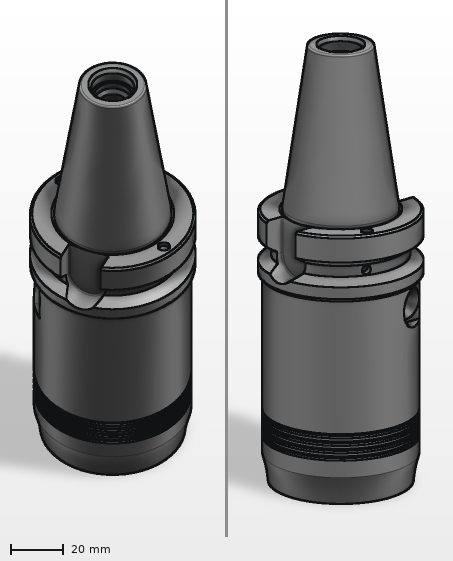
import cadquery as cq
import math

TOTAL_HEIGHT = 175.4
GAUGE_Z = 110.0
FLANGE_TOP_Z = 109.1
VEE_TOP_Z = 98.5
VEE_FLOOR_TOP_Z = 95.5
VEE_FLOOR_BOTTOM_Z = 91.0
VEE_BOTTOM_Z = 88.5
FLANGE_BOTTOM_Z = 83.8
NOSE_TOP_Z = 11.4

FLANGE_DIAMETER = 63.0
FLANGE_RADIUS = FLANGE_DIAMETER / 2
NECK_RADIUS = 26.5
BODY_RADIUS = 30.0
NOSE_RADIUS = 27.7
GAUGE_RADIUS = 22.3
TAPER_RATIO = 7 / 24
TOP_RADIUS = GAUGE_RADIUS - (TOTAL_HEIGHT - GAUGE_Z) * TAPER_RATIO / 2
TOP_ROUNDING = 0.9
FLANGE_CHAMFER = 0.9
FACE_RELIEF_WIDTH = 1.0
FACE_RELIEF_DEPTH = 0.7
NOSE_SAG = 0.4

RING_COUNT = 4
LOWEST_RING_Z = 19.1
RING_PITCH = 3.0
RING_HALF_WIDTH = 0.9
RING_DEPTH = 0.4

BORE_RADIUS = 5.5
THREAD_RADIUS = 7.2
PILOT_RADIUS = 8.2
PILOT_MOUTH_RADIUS = 9.3
PILOT_MOUTH_DEPTH = 1.8
PILOT_DEPTH = 5.6
THREAD_START_DEPTH = 5.8
THREAD_END_DEPTH = 8.6
BORE_START_DEPTH = 10.0

DRIVE_HALF_WIDTH = 8.2
DRIVE_FLOOR_Y = 22.5
DRIVE_BOTTOM_Z = 86.5
DRIVE_FILLET = 0.5

COOLANT_ANGLES = (160, 340)
FACE_HOLE_RADIUS = 2.3
FACE_HOLE_DISTANCE = 26.8
FACE_HOLE_DEPTH = 1.8
NECK_HOLE_RADIUS = 1.8
NECK_HOLE_DEPTH = 3.5
DRILL_HALF_ANGLE = 59

POCKET_FLOOR_X = -20.9
POCKET_Y = -14.2
POCKET_Z = 73.7
POCKET_RADIUS = 8.2
POCKET_CONE_RADIUS = 7.0
POCKET_CONE_DEPTH = 7.0


def turned_blank():
    body_step = FLANGE_RADIUS - BODY_RADIUS
    outline = cq.Workplane("XZ").moveTo(0, 0).lineTo(NOSE_RADIUS, 0)
    outline = outline.threePointArc(
        ((NOSE_RADIUS + BODY_RADIUS) / 2 - NOSE_SAG, NOSE_TOP_Z / 2),
        (BODY_RADIUS, NOSE_TOP_Z),
    )
    for ring in range(RING_COUNT):
        ring_z = LOWEST_RING_Z + ring * RING_PITCH
        outline = outline.lineTo(BODY_RADIUS, ring_z - RING_HALF_WIDTH)
        outline = outline.lineTo(BODY_RADIUS - RING_DEPTH, ring_z)
        outline = outline.lineTo(BODY_RADIUS, ring_z + RING_HALF_WIDTH)
    outline = (
        outline.lineTo(BODY_RADIUS, FLANGE_BOTTOM_Z - body_step)
        .lineTo(FLANGE_RADIUS, FLANGE_BOTTOM_Z)
        .lineTo(FLANGE_RADIUS, VEE_BOTTOM_Z)
        .lineTo(NECK_RADIUS, VEE_FLOOR_BOTTOM_Z)
        .lineTo(NECK_RADIUS, VEE_FLOOR_TOP_Z)
        .lineTo(FLANGE_RADIUS, VEE_TOP_Z)
        .lineTo(FLANGE_RADIUS, FLANGE_TOP_Z - FLANGE_CHAMFER)
        .lineTo(FLANGE_RADIUS - FLANGE_CHAMFER, FLANGE_TOP_Z)
        .lineTo(GAUGE_RADIUS + FACE_RELIEF_WIDTH, FLANGE_TOP_Z)
        .lineTo(GAUGE_RADIUS, FLANGE_TOP_Z - FACE_RELIEF_DEPTH)
        .lineTo(GAUGE_RADIUS, GAUGE_Z)
        .lineTo(TOP_RADIUS, TOTAL_HEIGHT)
        .lineTo(0, TOTAL_HEIGHT)
        .close()
    )
    blank = outline.revolve(360, (0, 0, 0), (0, 1, 0))
    return blank.faces(">Z").edges().fillet(TOP_ROUNDING)


def axial_bore():
    return (
        cq.Workplane("XZ")
        .moveTo(0, 0)
        .lineTo(BORE_RADIUS, 0)
        .lineTo(BORE_RADIUS, TOTAL_HEIGHT - BORE_START_DEPTH)
        .lineTo(THREAD_RADIUS, TOTAL_HEIGHT - THREAD_END_DEPTH)
        .lineTo(THREAD_RADIUS, TOTAL_HEIGHT - THREAD_START_DEPTH)
        .lineTo(PILOT_RADIUS, TOTAL_HEIGHT - PILOT_DEPTH)
        .lineTo(PILOT_RADIUS, TOTAL_HEIGHT - PILOT_MOUTH_DEPTH)
        .lineTo(PILOT_MOUTH_RADIUS, TOTAL_HEIGHT)
        .lineTo(0, TOTAL_HEIGHT)
        .close()
        .revolve(360, (0, 0, 0), (0, 1, 0))
    )


def drive_slot():
    """Round-bottomed slot cutter on the -Y side, open upward and outward."""
    arc_center_z = DRIVE_BOTTOM_Z + DRIVE_HALF_WIDTH
    return (
        cq.Workplane("XZ", origin=(0, -DRIVE_FLOOR_Y, 0))
        .moveTo(-DRIVE_HALF_WIDTH, TOTAL_HEIGHT)
        .lineTo(-DRIVE_HALF_WIDTH, arc_center_z)
        .threePointArc((0, DRIVE_BOTTOM_Z), (DRIVE_HALF_WIDTH, arc_center_z))
        .lineTo(DRIVE_HALF_WIDTH, TOTAL_HEIGHT)
        .close()
        .extrude(FLANGE_RADIUS)
        .faces(">Y")
        .edges()
        .fillet(DRIVE_FILLET)
    )


def drilled_hole(radius, depth, start, direction):
    """Blind drilled hole with a pointed end."""
    point_depth = radius / math.tan(math.radians(DRILL_HALF_ANGLE))
    axis = cq.Vector(*direction).normalized()
    bottom = cq.Vector(*start) + axis * depth
    barrel = cq.Solid.makeCylinder(radius, depth, cq.Vector(*start), axis)
    point = cq.Solid.makeCone(radius, 0, point_depth, bottom, axis)
    return barrel.fuse(point)


def wrench_pocket():
    """Pocket with one round end, running out on the -Y side, and a conical seat."""
    reach = FLANGE_RADIUS
    floor = cq.Workplane("YZ", origin=(POCKET_FLOOR_X, POCKET_Y, POCKET_Z))
    pocket = (
        floor.moveTo(-reach, -POCKET_RADIUS)
        .lineTo(0, -POCKET_RADIUS)
        .threePointArc((POCKET_RADIUS, 0), (0, POCKET_RADIUS))
        .lineTo(-reach, POCKET_RADIUS)
        .close()
        .extrude(-reach)
    )
    seat = cq.Solid.makeCone(
        POCKET_CONE_RADIUS,
        0,
        POCKET_CONE_DEPTH,
        cq.Vector(POCKET_FLOOR_X, POCKET_Y, POCKET_Z),
        cq.Vector(1, 0, 0),
    )
    return pocket.union(cq.Workplane(seat))


result = turned_blank().cut(axial_bore()).cut(wrench_pocket())

for side_angle in (0, 180):
    result = result.cut(drive_slot().rotate((0, 0, 0), (0, 0, 1), side_angle))

neck_mid_z = (VEE_FLOOR_TOP_Z + VEE_FLOOR_BOTTOM_Z) / 2
for angle in COOLANT_ANGLES:
    out_x = math.cos(math.radians(angle))
    out_y = math.sin(math.radians(angle))
    face_start = (FACE_HOLE_DISTANCE * out_x, FACE_HOLE_DISTANCE * out_y, FLANGE_TOP_Z)
    neck_start = (NECK_RADIUS * out_x, NECK_RADIUS * out_y, neck_mid_z)
    face_hole = drilled_hole(FACE_HOLE_RADIUS, FACE_HOLE_DEPTH, face_start, (0, 0, -1))
    neck_hole = drilled_hole(NECK_HOLE_RADIUS, NECK_HOLE_DEPTH, neck_start, (-out_x, -out_y, 0))
    result = result.cut(cq.Workplane(face_hole)).cut(cq.Workplane(neck_hole))